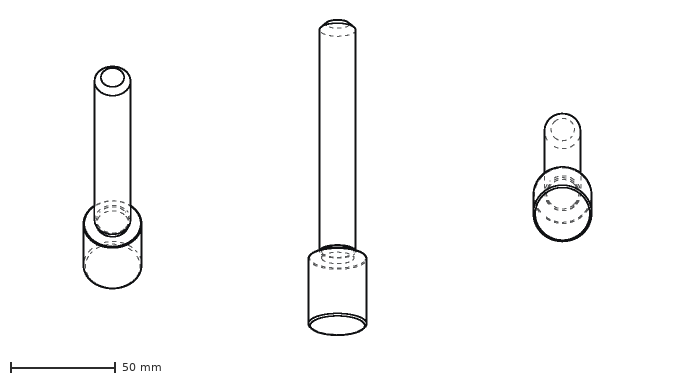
import cadquery as cq

total_length = 155.0

head_radius = 28.0 / 2
head_height = 34.9
head_top_chamfer = 0.5
head_bottom_chamfer = 1.0

shank_radius = 17.4 / 2
groove_radius = 15.5 / 2
groove_height = 3.3
shank_bottom = head_height + groove_height

tip_radius = 11.2 / 2
tip_height = 3.0

profile = (
    cq.Workplane("XZ")
    .moveTo(0, 0)
    .lineTo(head_radius - head_bottom_chamfer, 0)
    .lineTo(head_radius, head_bottom_chamfer)
    .lineTo(head_radius, head_height - head_top_chamfer)
    .lineTo(head_radius - head_top_chamfer, head_height)
    .lineTo(groove_radius, head_height)
    .lineTo(groove_radius, shank_bottom)
    .lineTo(shank_radius, shank_bottom)
    .lineTo(shank_radius, total_length - tip_height)
    .lineTo(tip_radius, total_length)
    .lineTo(0, total_length)
    .close()
)

result = profile.revolve(360, (0, 0, 0), (0, 1, 0))